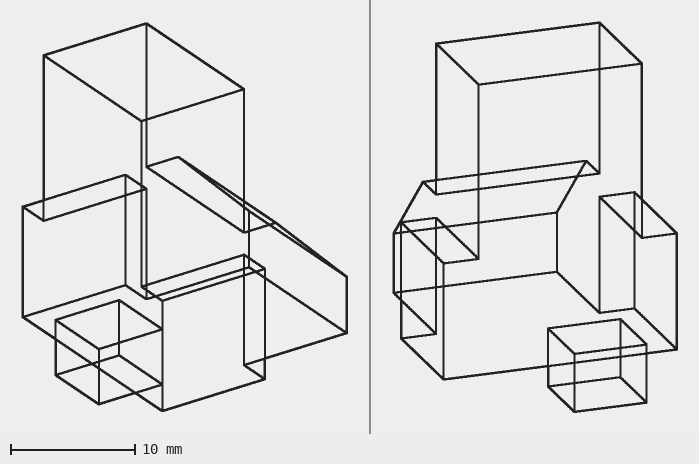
import cadquery as cq

base_width = 20.0
base_depth = 10.0
base_height = 10.0

tower_width = 14.0
tower_height = 25.0
tower_left = (base_width - tower_width) / 2

wedge_depth = 10.0
wedge_height = 12.0
wedge_chamfer = 6.9

peg_side = 6.2
peg_length = 5.0
peg_center_x = 5.0
peg_center_y = base_depth / 2


def make_base():
    return cq.Workplane("XY").box(base_width, base_depth, base_height, centered=False)


def make_tower():
    tower = cq.Workplane("XY").box(tower_width, base_depth, tower_height, centered=False)
    return tower.translate((tower_left, 0, 0))


def make_wedge():
    back = base_depth + wedge_depth
    profile = [
        (base_depth, 0),
        (back, 0),
        (back, wedge_height - wedge_chamfer),
        (back - wedge_chamfer, wedge_height),
        (base_depth, wedge_height),
    ]
    wedge = cq.Workplane("YZ").polyline(profile).close().extrude(tower_width)
    return wedge.translate((tower_left, 0, 0))


def make_peg():
    peg = cq.Workplane("XY").rect(peg_side, peg_side).extrude(-peg_length)
    return peg.translate((peg_center_x, peg_center_y, 0))


result = make_base().union(make_tower()).union(make_wedge()).union(make_peg()).clean()